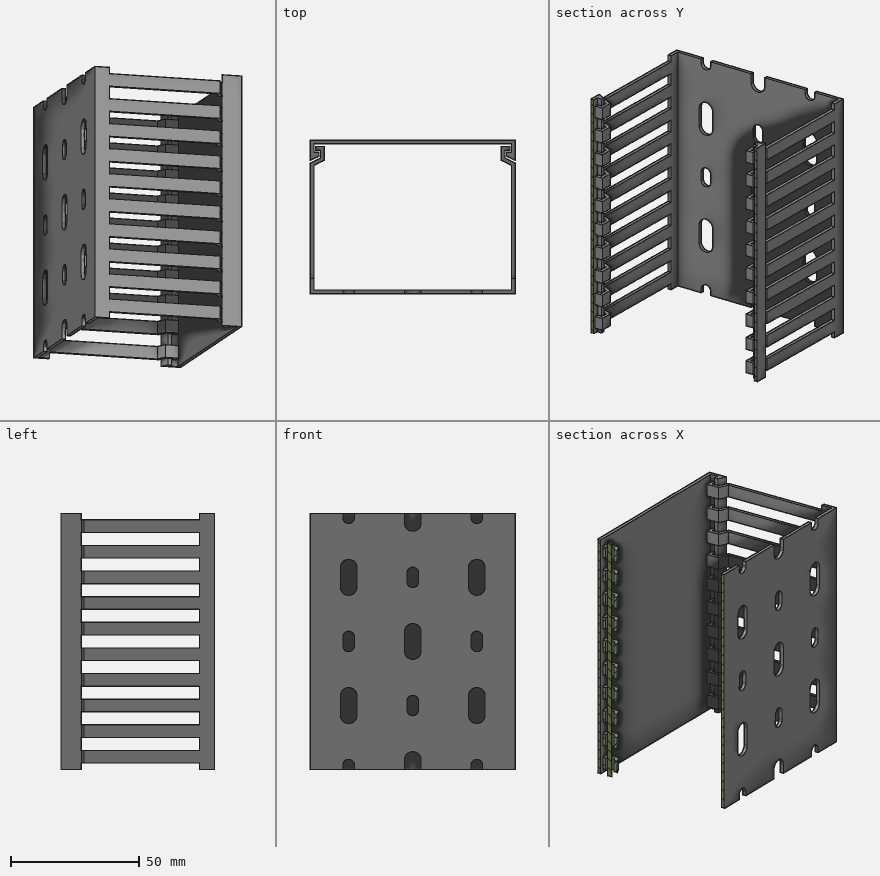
import cadquery as cq

width = 80.0
depth = 60.0
length = 100.0
half_width = width / 2

wall = 1.5

finger_pitch = 10.0
finger_height = 5.0
solid_wall_depth = 6.0
finger_count = round(length / finger_pitch)

hook_slope = 0.5
hook_bend_drop = 9.0
hook_top_drop = 2.5
hook_tip_inset = 2.0
hook_back_inset = 5.5
hook_inner_bend_drop = 7.9

cover_leg_drop = 8.0
ledge_top_drop = 4.7
ledge_inset = 3.5

hole_pitch = 25.0
hole_columns = 3
large_hole = (14.0, 6.5)
small_hole = (8.0, 4.5)


def extrude_profile(points):
    """Extrude a closed XY outline along the full length."""
    return cq.Workplane("XY").polyline(points).close().extrude(length)


def symmetric_outline(right_half):
    """Complete an outline from its right half, listed from one crossing of the YZ plane to the other."""
    left_half = [(-x, y) for x, y in reversed(right_half)]
    return right_half + left_half


def duct_profile():
    """Floor, side walls and inward-bent hooks as one open channel."""
    hook_back_x = half_width - hook_back_inset
    hook_channel_x = hook_back_x + wall
    hook_tip_x = half_width - hook_tip_inset
    wall_inner_x = half_width - wall
    hook_top_y = depth - hook_top_drop
    bend_y = depth - hook_bend_drop
    channel_bottom_y = bend_y + (half_width - hook_channel_x) * hook_slope
    inner_bend_y = depth - hook_inner_bend_drop
    wall_top_y = inner_bend_y - (wall_inner_x - hook_back_x) * hook_slope
    right_half = [
        (half_width, 0),
        (half_width, bend_y),
        (hook_channel_x, channel_bottom_y),
        (hook_channel_x, hook_top_y - wall),
        (hook_tip_x, hook_top_y - wall),
        (hook_tip_x, hook_top_y),
        (hook_back_x, hook_top_y),
        (hook_back_x, inner_bend_y),
        (wall_inner_x, wall_top_y),
        (wall_inner_x, wall),
    ]
    return extrude_profile(symmetric_outline(right_half))


def side_slots():
    """Blocks that clear both side walls between the fingers, including the half slots at the ends."""
    slot_height = finger_pitch - finger_height
    slot_centers = [(0, i * finger_pitch) for i in range(finger_count + 1)]
    return (
        cq.Workplane("XZ", origin=(0, solid_wall_depth, 0))
        .pushPoints(slot_centers)
        .rect(width, slot_height)
        .extrude(solid_wall_depth - depth)
    )


def obround_cutters(centers, size):
    """Obrounds through the floor with their long axis along Z."""
    return cq.Workplane("XZ").pushPoints(centers).slot2D(*size, angle=90).extrude(-wall)


def floor_holes():
    """Checkerboard of large and small obround holes; the end rows are cut in half by the floor's ends."""
    large_centers = []
    small_centers = []
    row_count = round(length / hole_pitch) + 1
    for column in range(hole_columns):
        x = (column - (hole_columns - 1) / 2) * hole_pitch
        for row in range(row_count):
            centers = small_centers if (column + row) % 2 == 0 else large_centers
            centers.append((x, row * hole_pitch))
    return obround_cutters(large_centers, large_hole).union(obround_cutters(small_centers, small_hole))


def make_duct():
    return duct_profile().cut(side_slots()).cut(floor_holes())


def make_cover():
    """Flat panel with two legs, each ending in an inward ledge that catches under the hooks."""
    leg_inner_x = half_width - wall
    ledge_x = half_width - ledge_inset
    leg_bottom_y = depth - cover_leg_drop
    ledge_bottom_y = leg_bottom_y + ledge_inset * hook_slope
    ledge_top_y = depth - ledge_top_drop
    right_half = [
        (half_width, depth),
        (half_width, leg_bottom_y),
        (ledge_x, ledge_bottom_y),
        (ledge_x, ledge_top_y),
        (leg_inner_x, ledge_top_y),
        (leg_inner_x, depth - wall),
    ]
    return extrude_profile(symmetric_outline(right_half))


duct = make_duct()
cover = make_cover()

result = cq.Compound.makeCompound([duct.val(), cover.val()])